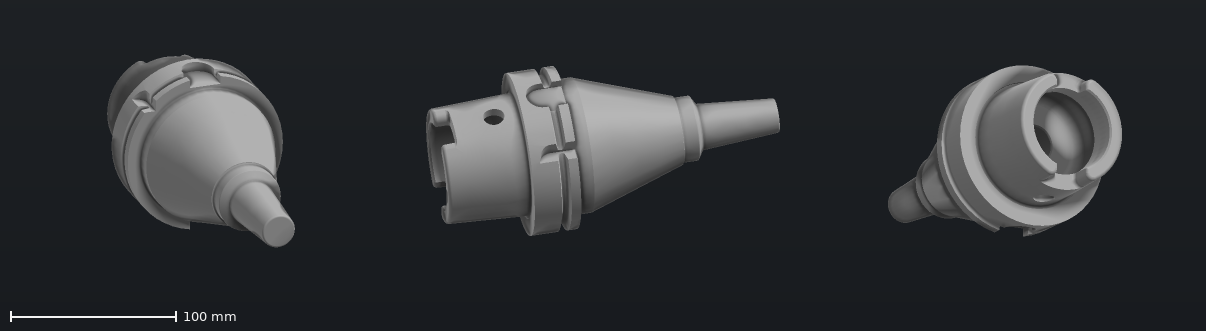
import cadquery as cq
total_length = 210.0

mouth_radius = 35.3
mouth_rounding = 2.0
taper_end_radius = 37.5
taper_length = 47.5
shoulder_fillet = 1.7
face_relief_depth = 0.8
face_relief_radius = 39.5

flange_start = 50.0
flange_end = 78.8
flange_radius = 50.0
groove_start = 66.8
groove_end = 72.9
groove_floor_start = 68.0
groove_floor_end = 71.5
groove_floor_radius = 45.5
groove_fillet = 1.3

neck_radius = 41.5
neck_fillet = 1.3
neck_end = 88.6
cone_end = 148.5
cone_end_radius = 21.2
collar_end = 158.3
collar_radius = 20.0
collar_rounding = 0.8
nose_start = 162.0
nose_start_radius = 14.3
nose_root_fillet = 1.0
nose_tip_radius = 10.5
nose_tip_rounding = 1.3

bore_radius = 26.5
bore_chamfer = 1.0
bore_length = 20.0
recess_radius = 31.5
recess_fillet = 6.5
bore_depth = 46.6
coolant_radius = 11.5
coolant_chamfer = 0.8
coolant_depth = 21.0
cross_hole_radius = 6.5
cross_hole_x = 34.9

drive_slot_half_width = 9.9
drive_slot_flank_radius = 4.5
drive_slot_floor_fillet = 1.9
drive_slots = ((9.7, 1), (14.5, -1))

key_slot_half_width = 9.9
key_slot_start = 54.8
key_slot_floor = 43.9
notch_start = 55.5
notch_end_radius = 7.8
notch_wall = 31.7
notch_floor = 31.3
notch_root_fillet = 0.6

clearance = 10.5


def circle_at(x, radius):
    """Selector for the turned edge of the given radius at the given place along the axis."""
    margin = 0.02
    low = (x - margin, -radius - margin, -radius - margin)
    high = (x + margin, radius + margin, radius + margin)
    return cq.selectors.BoxSelector(low, high, boundingbox=True)


def turned_body():
    collar_step = cone_end_radius - collar_radius
    face_relief_end = flange_start + face_relief_depth
    profile = (
        cq.Workplane("XY")
        .lineTo(0, mouth_radius)
        .lineTo(taper_length, taper_end_radius)
        .lineTo(face_relief_end - shoulder_fillet, taper_end_radius)
        .radiusArc((face_relief_end, taper_end_radius + shoulder_fillet), -shoulder_fillet)
        .lineTo(flange_start, face_relief_radius)
        .lineTo(flange_start, flange_radius)
        .lineTo(groove_start, flange_radius)
        .lineTo(groove_floor_start, groove_floor_radius)
        .lineTo(groove_floor_end, groove_floor_radius)
        .lineTo(groove_end, flange_radius)
        .lineTo(flange_end, flange_radius)
        .lineTo(flange_end, neck_radius + neck_fillet)
        .radiusArc((flange_end + neck_fillet, neck_radius), -neck_fillet)
        .lineTo(neck_end, neck_radius)
        .lineTo(cone_end, cone_end_radius)
        .radiusArc((cone_end + collar_step, collar_radius), -collar_step)
        .lineTo(collar_end, collar_radius)
        .lineTo(nose_start, nose_start_radius)
        .lineTo(total_length, nose_tip_radius)
        .lineTo(total_length, 0)
        .close()
    )
    body = profile.revolve(360, (0, 0, 0), (1, 0, 0))
    rounded_edges = (
        (groove_floor_start, groove_floor_radius, groove_fillet),
        (groove_floor_end, groove_floor_radius, groove_fillet),
        (collar_end, collar_radius, collar_rounding),
        (nose_start, nose_start_radius, nose_root_fillet),
    )
    for edge_x, edge_radius, rounding in rounded_edges:
        body = body.edges(circle_at(edge_x, edge_radius)).fillet(rounding)
    return body.faces(">X").edges().fillet(nose_tip_rounding)


def bore():
    profile = (
        cq.Workplane("XY")
        .lineTo(0, bore_radius + bore_chamfer)
        .lineTo(bore_chamfer, bore_radius)
        .lineTo(bore_length, bore_radius)
        .lineTo(bore_length, recess_radius)
        .lineTo(bore_depth - recess_fillet, recess_radius)
        .radiusArc((bore_depth, recess_radius - recess_fillet), recess_fillet)
        .lineTo(bore_depth, coolant_radius + coolant_chamfer)
        .lineTo(bore_depth + coolant_chamfer, coolant_radius)
        .lineTo(bore_depth + coolant_depth, coolant_radius)
        .lineTo(bore_depth + coolant_depth, 0)
        .close()
    )
    return profile.revolve(360, (0, 0, 0), (1, 0, 0))


def drive_slot(depth, side):
    """Block removed from the shank mouth, from the axis out through the wall on one side."""
    reach = mouth_radius + clearance
    block = cq.Workplane("XY").box(depth, 2 * drive_slot_half_width, reach, centered=(False, True, False))
    if side < 0:
        block = block.mirror("XY")
    return block


def cut_drive_slots(body):
    """Cut both slots, then round their flanks into the outer surface and the mouth."""
    for depth, side in drive_slots:
        body = body.cut(drive_slot(depth, side))
    flank_edges = []
    for depth, side in drive_slots:
        for flank_y in (-drive_slot_half_width, drive_slot_half_width):
            corner = cq.selectors.NearestToPointSelector((depth / 2, flank_y, side * mouth_radius))
            flank_edges += body.edges(corner).vals()
    body = body.newObject(flank_edges).fillet(drive_slot_flank_radius)
    floor_edges = []
    for depth, side in drive_slots:
        for corner_y in (-drive_slot_half_width, drive_slot_half_width):
            corner = cq.selectors.NearestToPointSelector((depth, corner_y, side * bore_radius / 2))
            floor_edges += body.edges(corner).vals()
    body = body.newObject(floor_edges).fillet(drive_slot_floor_fillet)
    return body.faces("<X").edges().fillet(mouth_rounding)


def key_slot(side):
    """Round-ended slot open towards the cone side of the flange."""
    arc_center_x = key_slot_start + key_slot_half_width
    outline = (
        cq.Workplane("XY", origin=(0, 0, side * key_slot_floor))
        .moveTo(flange_end, -key_slot_half_width)
        .lineTo(arc_center_x, -key_slot_half_width)
        .threePointArc((key_slot_start, 0), (arc_center_x, key_slot_half_width))
        .lineTo(flange_end, key_slot_half_width)
        .close()
    )
    return outline.extrude(side * clearance)


def corner_notch():
    """Right-angled notch in the flange rim, halfway between the top and the -Y side."""
    outer_y = -notch_wall - notch_end_radius
    outline = (
        cq.Workplane("XY", origin=(0, 0, notch_floor))
        .moveTo(flange_end, -notch_wall)
        .lineTo(notch_start + notch_end_radius, -notch_wall)
        .radiusArc((notch_start, outer_y), -notch_end_radius)
        .lineTo(flange_end, outer_y)
        .close()
    )
    notch = outline.extrude(clearance)
    wall_foot = cq.selectors.NearestToPointSelector((flange_end, -notch_wall, notch_floor))
    return notch.faces("<Z").edges(wall_foot).fillet(notch_root_fillet)


body = turned_body()
body = cut_drive_slots(body)
body = body.cut(bore())
cross_hole = cq.Workplane("XY").center(cross_hole_x, 0).circle(cross_hole_radius)
body = body.cut(cross_hole.extrude(flange_radius, both=True))
for slot_side in (1, -1):
    body = body.cut(key_slot(slot_side))
result = body.cut(corner_notch())